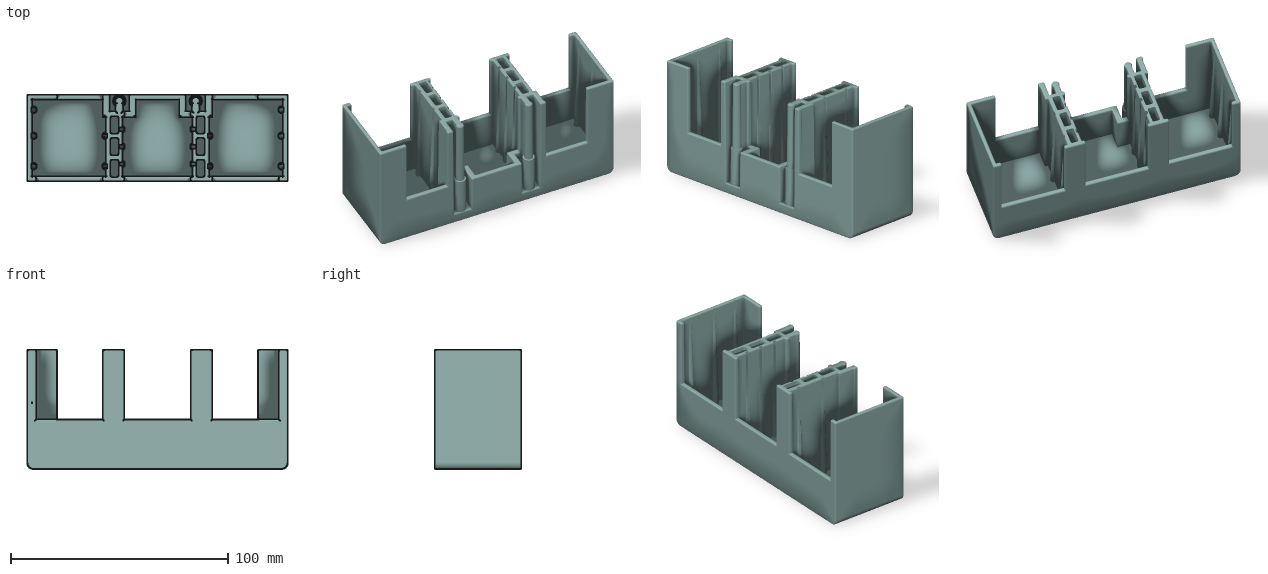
import cadquery as cq
import math

length = 120.0
width = 40.0
height = 55.0
floor_z = 5.0
sill_z = 22.9
end_radius = 3.0
edge_radius = 0.7
draft = 0.45
depth = height - floor_z
overcut = 5.0
tolerance = 0.01
draft_shift = depth * math.tan(math.radians(draft))

end_wall = 2.3
long_wall = 2.4
inner_x = length / 2 - end_wall
inner_y = width / 2 - long_wall

divider_inner = 16.1
divider_outer = 23.85

channel_near = 13.0
channel_far = 21.9
channel_front_y = 12.4
channel_block_near = 9.9
channel_block_far = 25.3
channel_block_y = 9.5

rail_x = 17.6
rail_width = 3.6
head_y = 17.0
head_radius = 2.2
head_foot_radius = 2.9
rail_root = 2.0

cell_x = 19.8
cell_width = 3.7
cell_length = 8.0
cell_pitch = 10.0
cell_centers_y = [6.0 - i * cell_pitch for i in range(3)]
cell_corner = 0.8

middle_window_half = 15.2
side_window_near = 25.3
side_window_far_front = 55.9
side_window_far_back = 46.2

rib_foot_radius = 1.6
rib_tip_radius = 0.9
groove_width = 1.8
rib_rows = [
    (inner_x, -1, 2.1, 0.5, [13.0, 1.0, -13.0]),
    (divider_outer, 1, 1.6, 0.8, [1.0, -13.0]),
    (divider_inner, -1, 1.1, 1.4, [4.0, -4.0, -12.0]),
]


def block(x0, x1, y0, y1, z0, z1):
    return cq.Workplane("XY").box(x1 - x0, y1 - y0, z1 - z0, centered=False).translate((x0, y0, z0))


def drafted(outline):
    """Void grown upwards from a floor outline, opening by the draft angle."""
    return outline.extrude(depth, taper=-draft)


def on_both_sides(shape):
    return shape.union(shape.mirror("YZ"))


def outer_box():
    body = block(-length / 2, length / 2, -width / 2, width / 2, 0, height)
    return body.edges("|Y and <Z").fillet(end_radius)


def side_compartment():
    points = [
        (divider_outer, -inner_y),
        (inner_x, -inner_y),
        (inner_x, inner_y),
        (channel_block_far, inner_y),
        (channel_block_far, channel_block_y),
        (divider_outer, channel_block_y),
    ]
    return drafted(cq.Workplane("XY", origin=(0, 0, floor_z)).polyline(points).close())


def middle_compartment():
    right_half = [
        (divider_inner, -inner_y),
        (divider_inner, channel_block_y),
        (channel_block_near, channel_block_y),
        (channel_block_near, inner_y),
    ]
    left_half = [(-x, y) for x, y in reversed(right_half)]
    return drafted(cq.Workplane("XY", origin=(0, 0, floor_z)).polyline(right_half + left_half).close())


def rail():
    floor = cq.Workplane("XY", origin=(0, 0, floor_z))
    web_start = channel_front_y - rail_root
    web = (
        floor.center(rail_x, (web_start + head_y) / 2)
        .rect(rail_width, head_y - web_start)
        .extrude(depth, taper=draft)
    )
    head = floor.center(rail_x, head_y).circle(head_radius).extrude(depth, taper=draft)
    foot = floor.center(rail_x, head_y).circle(head_foot_radius).extrude(sill_z - floor_z, taper=draft)
    return web.union(head).faces(">Z").edges().fillet(edge_radius).union(foot)


def channel():
    back_y = width / 2 + overcut
    outline = cq.Workplane("XY", origin=(0, 0, floor_z)).center(
        (channel_near + channel_far) / 2, (channel_front_y + back_y) / 2
    )
    return drafted(outline.rect(channel_far - channel_near, back_y - channel_front_y))


def side_windows():
    front = block(side_window_near, side_window_far_front, -width, 0, sill_z, height + overcut)
    back = block(side_window_near, side_window_far_back, 0, width, sill_z, height + overcut)
    return front.union(back)


def middle_window():
    return block(-middle_window_half, middle_window_half, -width, width, sill_z, height + overcut)


def rounded_edges(body):
    """Edges of the outline, the rims and the windows."""
    inner_x_faces = cq.selectors.BoxSelector(
        (-inner_x, -width, 0), (inner_x, width, 2 * height)
    )
    sill_slice = cq.selectors.BoxSelector(
        (-length, -width, sill_z - tolerance), (length, width, sill_z + tolerance)
    )
    rims = body.faces("<Y or >Y or >Z").edges()
    rims = rims.add(body.faces("|X").faces(inner_x_faces).edges())
    rims = rims.add(body.faces("|Z").faces(sill_slice).edges())
    return rims


def window_corner(edge):
    """True for an edge along Y where a window side meets its sill."""
    box = edge.BoundingBox()
    runs_along_y = box.xlen < tolerance and box.zlen < tolerance
    at_side = any(
        abs(abs(edge.Center().x) - side) < tolerance
        for side in (middle_window_half, side_window_near, side_window_far_front, side_window_far_back)
    )
    return runs_along_y and at_side and abs(edge.Center().z - sill_z) < tolerance


def rib(wall_x, y, reach, direction):
    """Tapering half-round rib; its tip ends flush with the leaning wall face at the top."""
    foot_x = wall_x + direction * (reach - rib_foot_radius)
    top_wall_x = wall_x - direction * draft_shift
    tip_x = top_wall_x - direction * rib_tip_radius
    return (
        cq.Workplane("XY", origin=(foot_x, y, floor_z))
        .circle(rib_foot_radius)
        .workplane(offset=depth - edge_radius)
        .center(tip_x - foot_x, 0)
        .circle(rib_tip_radius)
        .loft()
    )


def groove(wall_x, y, reach, sink, direction):
    """Sloping slot that trims the front of a rib and sinks into the wall towards the top."""
    foot_x = wall_x + direction * reach
    top_x = wall_x - direction * sink
    clear_x = foot_x + direction
    profile = [(foot_x, floor_z), (top_x, height), (clear_x, height), (clear_x, floor_z)]
    start = cq.Workplane("XZ", origin=(0, y + groove_width / 2, 0))
    return start.polyline(profile).close().extrude(groove_width)


def cells():
    return (
        cq.Workplane("XY", origin=(0, 0, floor_z))
        .pushPoints([(cell_x, y) for y in cell_centers_y])
        .rect(cell_width, cell_length)
        .extrude(depth)
        .edges("|Z")
        .fillet(cell_corner)
    )


body = outer_box()
body = body.cut(on_both_sides(side_compartment())).cut(middle_compartment())
body = body.cut(on_both_sides(channel())).cut(middle_window()).cut(on_both_sides(side_windows()))

edges = [edge for edge in rounded_edges(body).vals() if not window_corner(edge)]
body = body.newObject(edges).fillet(edge_radius)

body = body.union(on_both_sides(rail()))
for wall_x, direction, reach, sink, places in rib_rows:
    for y in places:
        body = body.union(on_both_sides(rib(wall_x, y, reach, direction)))
        body = body.cut(on_both_sides(groove(wall_x, y, reach, sink, direction)))
result = body.cut(on_both_sides(cells()))